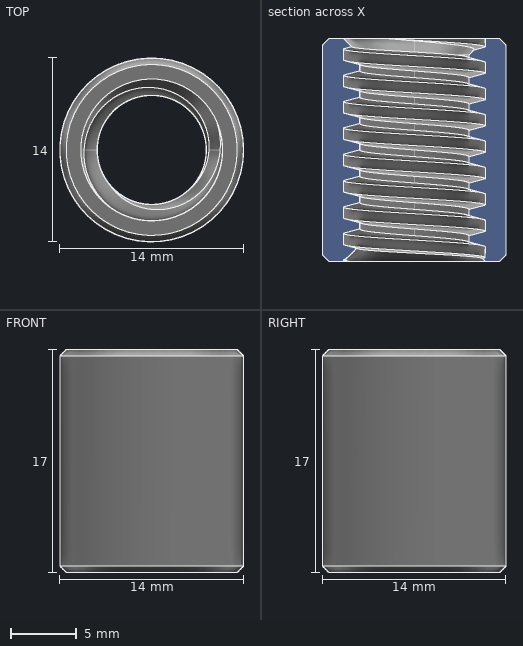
import cadquery as cq
import math

height = 17.0
outer_radius = 7.0
edge_chamfer = 0.5

bore_radius = 4.15
root_radius = 5.39
pitch = 2.0
root_width = 0.83
flank_angle = 15.0
start_angle = 180.0
start_height = 0.22
tool_overlap = 0.17

lead_in_radius = 5.4
lead_in_depth = lead_in_radius - bore_radius


def make_sleeve():
    body = cq.Workplane("XY").circle(outer_radius).extrude(height)
    body = body.edges().chamfer(edge_chamfer)
    bore = cq.Workplane("XY").circle(bore_radius).extrude(height)
    return body.cut(bore)


def make_lead_in():
    """Cone opening upward at the top of the bore."""
    return cq.Workplane("XZ").polyline([
        (0, height - lead_in_depth),
        (bore_radius, height - lead_in_depth),
        (lead_in_radius, height),
        (0, height),
    ]).close().revolve(360, (0, 0, 0), (0, 1, 0))


def make_groove_turn():
    """Right-handed trapezoidal groove, one full turn long."""
    inner_radius = bore_radius - tool_overlap
    root_half = root_width / 2
    mouth_half = root_half + (root_radius - inner_radius) * math.tan(math.radians(flank_angle))

    def helix(radius, offset):
        wire = cq.Wire.makeHelix(pitch, pitch, radius)
        return wire.translate(cq.Vector(0, 0, start_height + offset))

    corners = [
        helix(inner_radius, -mouth_half),
        helix(root_radius, -root_half),
        helix(root_radius, root_half),
        helix(inner_radius, mouth_half),
    ]
    faces = []
    for index, corner in enumerate(corners):
        faces += cq.Face.makeRuledSurface(corners[index - 1], corner).Faces()
    for end in (0, 1):
        points = [corner.positionAt(end) for corner in corners]
        faces.append(cq.Face.makeFromWires(cq.Wire.makePolygon(points, close=True)))
    groove = cq.Solid.makeSolid(cq.Shell.makeShell(faces))
    return groove.rotate(cq.Vector(0, 0, 0), cq.Vector(0, 0, 1), start_angle)


lead_in = make_lead_in()
bottom_lead_in = lead_in.mirror("XY", (0, 0, height / 2))
result = make_sleeve().cut(lead_in).cut(bottom_lead_in)

groove_turn = make_groove_turn()
for turn in range(-1, math.ceil(height / pitch) + 1):
    next_turn = groove_turn.translate(cq.Vector(0, 0, turn * pitch))
    result = result.cut(cq.Workplane(obj=next_turn))